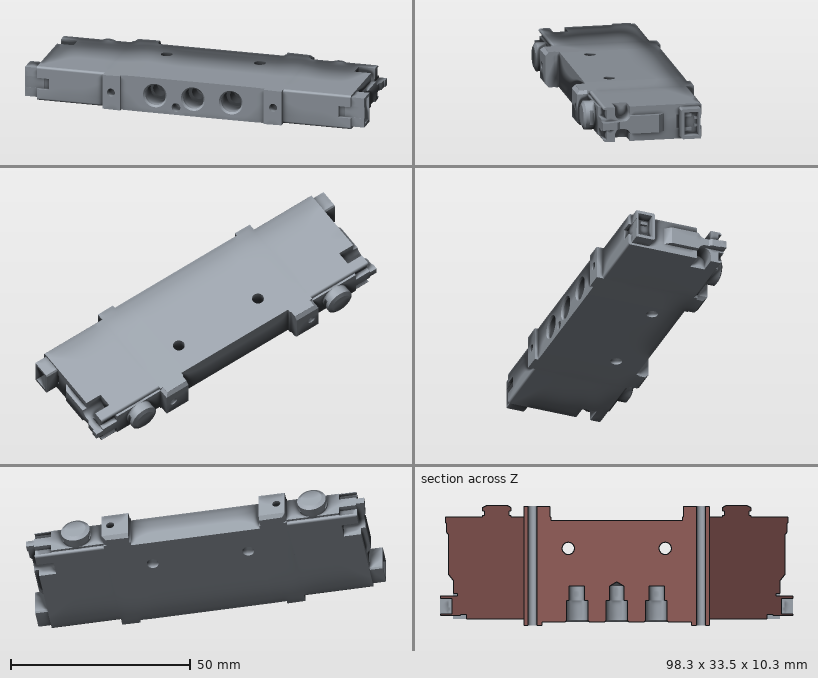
import cadquery as cq
import math


BODY_FRONT = -15.8
BODY_REAR = 12.6
BODY_HALF_HEIGHT = 5.125
BODY_FLAT_HALF_LENGTH = 17.0
BODY_END = 25.9
END_HALF_HEIGHT = 4.95

FOOT_FRONT = -16.735
FOOT_INNER = 20.8

SHOULDER_INNER = 18.2
SHOULDER_STEP_Y = 13.6
HOOK_INNER = 18.5
HOOK_REAR = 16.43
HOOK_CHAMFER = 0.9
HOOK_CHAMFER_START = 13.4

MOUNT_HOLE_DIAMETER = 3.3
MOUNT_HOLE_X = 13.5
MOUNT_HOLE_Y = 4.75
FOOT_HOLE_DIAMETER = 2.3
FOOT_HOLE_X = 23.5

PORT_PITCH = 11.0
PORT_MOUTH_DIAMETER = 6.9
PORT_DIAMETER = 5.92
PORT_DEPTH = 6.0
SIDE_PASSAGE_DIAMETER = 4.2
SIDE_PASSAGE_OFFSET = 0.15
CENTRE_PASSAGE_DIAMETER = 3.9
PASSAGE_DEPTH = 10.0
VENT_DIAMETER = 2.5
VENT_X = -4.9
VENT_Z = -2.95
VENT_DEPTH = 4.0
DRILL_TIP_ANGLE = 118.0

COIL_FRONT = -14.95
COIL_REAR = 12.88
COIL_FILLET = 0.65
CAP_INNER = 40.7
CAP_END = 45.5
PAD_REAR = 13.5
PAD_HALF_HEIGHT = 4.0
CAP_NOTCH_FRONT = 12.0
CAP_NOTCH_INNER_Z = 1.6
CAP_NOTCH_OUTER_Z = 4.3

GROOVE_DIAMETER = 4.2
GROOVE_Y = 7.55
LEVER_HALF_HEIGHT = 1.05

PLATE_HALF_HEIGHT = 2.52
PLATE_FRONT = -4.3
PLATE_CHAMFER_END = -2.5
PLATE_END = 46.9
LEVER_RAMP_START = 8.5
LEVER_RAMP_END = 9.3
LEVER_RAMP_X = 47.5
LEVER_STEP_Y = 11.7
LEVER_TIP = 47.8

CONNECTOR_END = 49.15
CONNECTOR_FRONT = -14.05
CONNECTOR_REAR = -8.5
CONNECTOR_HALF_HEIGHT = 4.29
CONNECTOR_CHAMFER = 0.4
SOCKET_FRONT = -13.47
SOCKET_REAR = -9.3
SOCKET_HALF_HEIGHT = 3.4
SOCKET_DEPTH = 3.2
CONTACT_FRONT = -11.8
CONTACT_REAR = -9.85
CONTACT_Z = 2.05
CONTACT_THICKNESS = 0.9
POST_LENGTH = 0.8
KEY_WIDTH = 0.6
KEY_DEPTH = 0.85
KEY_Z = 1.05
TAB_RECESS_REAR = -7.85
TAB_RECESS_HALF_HEIGHT = 2.0
TAB_RECESS_DEPTH = 1.0
LATCH_HALF_HEIGHT = 1.65
LATCH_FLOOR = -13.95
LATCH_ARM_INNER = 43.5
LATCH_POCKET_INNER = 41.9
LATCH_POCKET_FLOOR = -13.7

BUTTON_X = -33.4
BUTTON_DIAMETER = 8.1
BUTTON_TOP_DIAMETER = 5.92
BUTTON_REAR = 16.735
BUTTON_BEVEL_DEPTH = 0.6
BUTTON_NOTCH_START = 14.0
BUTTON_NOTCH_END = 15.1
BUTTON_NOTCH_HALF_WIDTH = 2.07


def block(x_range, y_range, z_range):
    """Box spanning the given (low, high) range on each axis."""
    spans = [high - low for low, high in (x_range, y_range, z_range)]
    corner = (x_range[0], y_range[0], z_range[0])
    return cq.Workplane("XY").box(*spans, centered=False).translate(corner)


def level_block(x_range, y_range, half_height):
    """Box centred on Z = 0."""
    return block(x_range, y_range, (-half_height, half_height))


def drill(diameter, depth, x, y, z=0.0, pointed=False):
    """Round cutter running toward +Y from y, with a drill point if asked."""
    radius = diameter / 2
    profile = cq.Workplane("XY").moveTo(0, 0).lineTo(radius, 0).lineTo(radius, depth)
    if pointed:
        tip = radius / math.tan(math.radians(DRILL_TIP_ANGLE / 2))
        profile = profile.lineTo(0, depth + tip)
    else:
        profile = profile.lineTo(0, depth)
    return profile.close().revolve(360, (0, 0), (0, 1)).translate((x, y, z))


def mirrored_pair(shape):
    """The shape together with its mirror image across X = 0, as one cutter or addition."""
    return shape.union(shape.mirror("YZ"))


def body_core():
    """Long block whose top and bottom taper toward both ends."""
    quarter = [(BODY_FLAT_HALF_LENGTH, BODY_HALF_HEIGHT), (BODY_END, END_HALF_HEIGHT)]
    right = quarter + [(x, -z) for x, z in reversed(quarter)]
    left = [(-x, -z) for x, z in right]
    side_profile = cq.Workplane("XZ", origin=(0, HOOK_REAR, 0)).polyline(right + left).close()
    return side_profile.extrude(HOOK_REAR - FOOT_FRONT)


def body_outline():
    """Plan of the body: feet at the front corners and shouldered hooks at the rear ones."""
    right = [
        (FOOT_INNER, BODY_FRONT),
        (FOOT_INNER, FOOT_FRONT),
        (BODY_END, FOOT_FRONT),
        (BODY_END, HOOK_REAR),
        (HOOK_INNER, HOOK_REAR),
        (HOOK_INNER, SHOULDER_STEP_Y),
        (SHOULDER_INNER, SHOULDER_STEP_Y),
        (SHOULDER_INNER, BODY_REAR),
    ]
    left = [(-x, y) for x, y in reversed(right)]
    plan = cq.Workplane("XY").polyline(right + left).close()
    return plan.extrude(BODY_HALF_HEIGHT, both=True)


def hook_chamfers():
    """Cutters for the top edges of one hook: along its rear face and along its outer face."""
    edge_z = END_HALF_HEIGHT
    low_z = edge_z - HOOK_CHAMFER
    rear = cq.Workplane("YZ", origin=(-BODY_END, 0, 0)).polyline(
        [
            (HOOK_REAR, low_z),
            (HOOK_REAR, BODY_HALF_HEIGHT),
            (HOOK_REAR - HOOK_CHAMFER, BODY_HALF_HEIGHT),
            (HOOK_REAR - HOOK_CHAMFER, edge_z),
        ]
    )
    outer = cq.Workplane("XZ", origin=(0, HOOK_REAR, 0)).polyline(
        [
            (-BODY_END, low_z),
            (-BODY_END, BODY_HALF_HEIGHT),
            (HOOK_CHAMFER - BODY_END, BODY_HALF_HEIGHT),
            (HOOK_CHAMFER - BODY_END, edge_z),
        ]
    )
    rear = rear.close().extrude(BODY_END - HOOK_INNER)
    return rear.union(outer.close().extrude(HOOK_REAR - HOOK_CHAMFER_START))


def port(x, passage_x, passage_diameter, pointed):
    """Countersunk port with a narrower passage beyond its floor."""
    mouth_radius = PORT_MOUTH_DIAMETER / 2
    bore_radius = PORT_DIAMETER / 2
    sink_depth = mouth_radius - bore_radius
    profile = [
        (0, 0),
        (mouth_radius, 0),
        (bore_radius, sink_depth),
        (bore_radius, PORT_DEPTH),
        (0, PORT_DEPTH),
    ]
    bore = cq.Workplane("XY").polyline(profile).close().revolve(360, (0, 0), (0, 1))
    bore = bore.translate((x, BODY_FRONT, 0))
    passage = drill(passage_diameter, PASSAGE_DEPTH, passage_x, BODY_FRONT, pointed=pointed)
    return bore.union(passage)


def make_body():
    body = body_core().intersect(body_outline())
    top_chamfers = mirrored_pair(hook_chamfers())
    body = body.cut(top_chamfers).cut(top_chamfers.mirror("XY"))

    mount_hole = cq.Workplane("XY").center(-MOUNT_HOLE_X, MOUNT_HOLE_Y)
    mount_hole = mount_hole.circle(MOUNT_HOLE_DIAMETER / 2).extrude(BODY_HALF_HEIGHT, both=True)
    body = body.cut(mirrored_pair(mount_hole))

    foot_hole = drill(FOOT_HOLE_DIAMETER, HOOK_REAR - FOOT_FRONT, -FOOT_HOLE_X, FOOT_FRONT)
    body = body.cut(mirrored_pair(foot_hole))

    side_passage_x = PORT_PITCH + SIDE_PASSAGE_OFFSET
    side_port = port(-PORT_PITCH, -side_passage_x, SIDE_PASSAGE_DIAMETER, pointed=False)
    body = body.cut(mirrored_pair(side_port))
    body = body.cut(port(0, 0, CENTRE_PASSAGE_DIAMETER, pointed=True))
    return body.cut(drill(VENT_DIAMETER, VENT_DEPTH, VENT_X, BODY_FRONT, VENT_Z, pointed=True))


def coil_and_cap():
    """Rounded bar with a raised pad behind it and notched rear corners at the cap."""
    length = (-CAP_END, -BODY_END)
    bar = level_block(length, (COIL_FRONT, COIL_REAR), END_HALF_HEIGHT)
    bar = bar.edges("|X").fillet(COIL_FILLET)
    bar = bar.union(level_block(length, (0, PAD_REAR), PAD_HALF_HEIGHT))
    for z_range in [(CAP_NOTCH_INNER_Z, CAP_NOTCH_OUTER_Z), (-CAP_NOTCH_OUTER_Z, -CAP_NOTCH_INNER_Z)]:
        bar = bar.cut(block((-CAP_END, -CAP_INNER), (CAP_NOTCH_FRONT, PAD_REAR), z_range))
    return bar


def lever_plate():
    """Raised plate on the cap end: wide at the front, a narrow stepped lever at the rear."""
    plan = [
        (-CAP_END, PLATE_FRONT),
        (-PLATE_END, PLATE_CHAMFER_END),
        (-PLATE_END, LEVER_RAMP_START),
        (-LEVER_RAMP_X, LEVER_RAMP_END),
        (-LEVER_RAMP_X, LEVER_STEP_Y),
        (-LEVER_TIP, LEVER_STEP_Y),
        (-LEVER_TIP, PAD_REAR),
        (-CAP_END, PAD_REAR),
    ]
    lever = cq.Workplane("XY").polyline(plan).close().extrude(LEVER_HALF_HEIGHT, both=True)
    wide = cq.Workplane("XY").polyline(plan).close().extrude(PLATE_HALF_HEIGHT, both=True)
    wide = wide.intersect(level_block((-PLATE_END, -CAP_END), (PLATE_FRONT, GROOVE_Y), PLATE_HALF_HEIGHT))
    return lever.union(wide)


def cap_groove():
    """Round-bottomed groove cut down from the top face, along X across the cap."""
    radius = GROOVE_DIAMETER / 2
    centre_z = LEVER_HALF_HEIGHT + radius
    section = (
        cq.Workplane("YZ", origin=(-CAP_INNER, 0, 0))
        .moveTo(GROOVE_Y - radius, END_HALF_HEIGHT)
        .lineTo(GROOVE_Y - radius, centre_z)
        .threePointArc((GROOVE_Y, LEVER_HALF_HEIGHT), (GROOVE_Y + radius, centre_z))
        .lineTo(GROOVE_Y + radius, END_HALF_HEIGHT)
        .close()
    )
    return section.extrude(CAP_INNER - LEVER_TIP)


def connector_shell():
    """Connector block standing out of the cap end."""
    shell = level_block(
        (-CONNECTOR_END, -CAP_END), (CONNECTOR_FRONT, CONNECTOR_REAR), CONNECTOR_HALF_HEIGHT
    )
    return shell.faces(">Y").edges("|X").chamfer(CONNECTOR_CHAMFER)


def connector_socket():
    """Cavity of the connector, less the two contacts and the two keys left standing in it."""
    floor = SOCKET_DEPTH - CONNECTOR_END
    post_x = (floor - POST_LENGTH, floor)
    key_y = (SOCKET_FRONT, SOCKET_FRONT + KEY_DEPTH)
    socket = level_block((-CONNECTOR_END, floor), (SOCKET_FRONT, SOCKET_REAR), SOCKET_HALF_HEIGHT)
    for side in (-1, 1):
        contact_z = (side * CONTACT_Z - CONTACT_THICKNESS / 2, side * CONTACT_Z + CONTACT_THICKNESS / 2)
        socket = socket.cut(block(post_x, (CONTACT_FRONT, CONTACT_REAR), contact_z))
        key_z = (side * KEY_Z - KEY_WIDTH / 2, side * KEY_Z + KEY_WIDTH / 2)
        socket = socket.cut(block(post_x, key_y, key_z))
    return socket


def latch_channel():
    """Shallow channel along the connector front, ending in a deeper pocket in the cap."""
    channel = level_block((-CONNECTOR_END, -LATCH_ARM_INNER), (COIL_FRONT, LATCH_FLOOR), LATCH_HALF_HEIGHT)
    pocket = level_block(
        (-LATCH_ARM_INNER, -LATCH_POCKET_INNER), (COIL_FRONT, LATCH_POCKET_FLOOR), LATCH_HALF_HEIGHT
    )
    return channel.union(pocket)


def button():
    """Bevelled push button on the rear of the coil, with a flat notch on each side."""
    radius = BUTTON_DIAMETER / 2
    profile = [
        (0, COIL_REAR),
        (radius, COIL_REAR),
        (radius, BUTTON_REAR - BUTTON_BEVEL_DEPTH),
        (BUTTON_TOP_DIAMETER / 2, BUTTON_REAR),
        (0, BUTTON_REAR),
    ]
    knob = cq.Workplane("XY").polyline(profile).close().revolve(360, (0, 0), (0, 1))
    knob = knob.translate((BUTTON_X, 0, 0))
    flat = math.sqrt(radius**2 - BUTTON_NOTCH_HALF_WIDTH**2)
    notch_y = (BUTTON_NOTCH_START, BUTTON_NOTCH_END)
    for x_range in [(BUTTON_X - radius, BUTTON_X - flat), (BUTTON_X + flat, BUTTON_X + radius)]:
        knob = knob.cut(level_block(x_range, notch_y, radius))
    return knob


def make_pilot():
    """Pilot unit on the -X end."""
    pilot = coil_and_cap().union(lever_plate())
    groove = cap_groove()
    pilot = pilot.cut(groove).cut(groove.mirror("XY"))
    pilot = pilot.union(connector_shell()).cut(connector_socket()).cut(latch_channel())
    tab_recess = level_block(
        (-CAP_END, TAB_RECESS_DEPTH - CAP_END), (CONNECTOR_REAR, TAB_RECESS_REAR), TAB_RECESS_HALF_HEIGHT
    )
    return pilot.cut(tab_recess).union(button())


valve_body = make_body()
pilot_left = make_pilot()
pilots = [pilot_left, pilot_left.mirror("YZ")]

result = cq.Compound.makeCompound([valve_body.val()] + [pilot.val() for pilot in pilots])